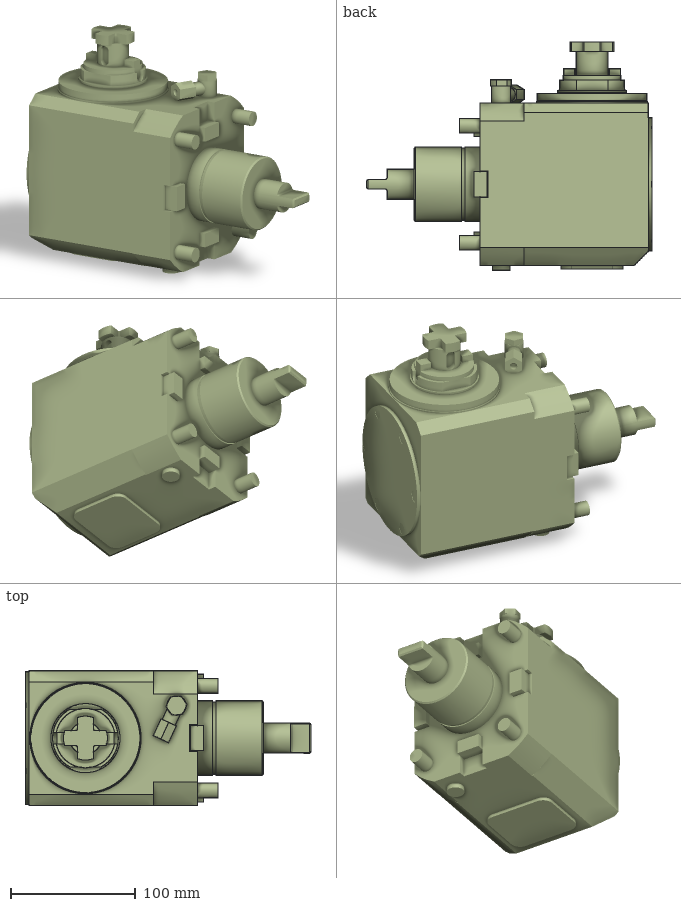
import cadquery as cq
import math


HOUSING_FRONT_X = -45.1
HOUSING_REAR_X = 90.0
HOUSING_HALF_WIDTH = 54.0
HOUSING_HALF_HEIGHT = 65.3
TOP_CHAMFER_Y = 9.0
TOP_CHAMFER_Z = 7.8
BOTTOM_CHAMFER_Y = 17.9
BOTTOM_CHAMFER_Z = 14.7
FRONT_BEVEL = 11.5
REAR_TURNED_RADIUS = 74.2
REAR_TURNED_START_X = 54.7

COVER_RADIUS = 53.4
COVER_THICKNESS = 3.0
COVER_SCREW_COUNT = 6
COVER_SCREW_CIRCLE_RADIUS = 47.9
COVER_SCREW_RADIUS = 5.0
COVER_SCREW_RECESS = 0.2

FLANGE_STEPS = [(44.7, 66.5), (43.5, 67.3), (44.0, 72.8)]
NUT_SEAT_RADIUS = 27.7
NUT_SEAT_TOP_Z = 75.4
NUT_SEAT_STEPS = [(27.0, 73.8), (NUT_SEAT_RADIUS, NUT_SEAT_TOP_Z)]
NUT_RADIUS = 26.3
NUT_TOP_Z = 83.5
NUT_FLAT_HALF_WIDTH = 23.1
COLLAR_RADIUS = 23.8
COLLAR_TOP_Z = 87.3

DOG_WIDTH = 9.2
DOG_INNER_X = 13.7
DOG_OUTER_X = 23.0
DOG_TOP_Z = 92.8

SHAFT_RADIUS = 12.8
CROSS_BOTTOM_Z = 106.3
CROSS_TOP_Z = 114.3
CROSS_RADIUS = 17.6
CROSS_ARM_WIDTH_ALONG_X = 12.1
CROSS_ARM_WIDTH_ALONG_Y = 12.5
CROSS_INNER_FILLET = 1.4
SHAFT_POCKET_WIDTH = 7.3
SHAFT_POCKET_LENGTH = 16.3
SHAFT_POCKET_CENTER_Z = 96.0
SHAFT_POCKET_DEPTH = 4.5

ELBOW_X = 73.0
ELBOW_Y = 26.0
ELBOW_POST_RADIUS = 7.8
ELBOW_HEAD_BOTTOM_Z = 78.8
ELBOW_TOP_Z = 83.8
HEX_SIDES = 6
ELBOW_HEAD_DIAMETER = 17.0
ELBOW_AXIS_Z = 72.0
ELBOW_TURN = 25.0
NOZZLE_STEM_RADIUS = 5.7
NOZZLE_HEX_START = 15.0
NOZZLE_HEX_END = 29.8
NOZZLE_HEX_DIAMETER = 15.5
NOZZLE_HOLE_RADIUS = 3.0
NOZZLE_HOLE_DEPTH = 9.2

ARBOR_RADIUS = 30.0
ARBOR_END_X = 142.7
ARBOR_END_CHAMFER = 1.1
ARBOR_GROOVE_START_X = 102.0
ARBOR_GROOVE_END_X = 105.0
ARBOR_GROOVE_RADIUS = 29.0
DRIVE_SHAFT_RADIUS = 12.1
DRIVE_SHAFT_END_X = 164.5
TANG_THICKNESS = 7.8
TANG_END_X = 181.0
TANG_ROOT_FILLET = 1.4
TANG_TIP_CHAMFER = 1.1

PIN_RADIUS = 6.0
PIN_END_X = 106.5
PIN_Y = 42.0
PIN_Z = 47.0

KEY_START_X = 84.3
KEY_END_X = 94.8
KEY_WIDTH = 20.2
KEY_THICKNESS = 11.5
KEY_SIDE_OUTER_Y = 51.3
KEY_TOP_INNER_Z = 38.3
KEY_CLEARANCE = 0.7

PLATE_SIZE_X = 50.0
PLATE_SIZE_Y = 60.0
PLATE_BOTTOM_Z = -68.0
PLATE_CORNER_RADIUS = 8.5
PLUG_X = 72.8
PLUG_Y = -25.9
PLUG_RADIUS = 7.0
PLUG_BOTTOM_Z = -69.2


def upright_cylinder(radius, bottom, top):
    return cq.Workplane("XY").workplane(offset=bottom).circle(radius).extrude(top - bottom)


def lengthwise_cylinder(radius, start, end):
    return cq.Workplane("YZ", origin=(start, 0, 0)).circle(radius).extrude(end - start)


def block(x_range, y_range, z_range):
    sizes = [high - low for low, high in (x_range, y_range, z_range)]
    corner = (x_range[0], y_range[0], z_range[0])
    return cq.Workplane("XY", origin=corner).box(*sizes, centered=False)


def make_housing():
    width, height = HOUSING_HALF_WIDTH, HOUSING_HALF_HEIGHT
    right_side = [
        (width - BOTTOM_CHAMFER_Y, -height),
        (width, -height + BOTTOM_CHAMFER_Z),
        (width, height - TOP_CHAMFER_Z),
        (width - TOP_CHAMFER_Y, height),
    ]
    left_side = [(-y, z) for y, z in reversed(right_side)]
    front = (
        cq.Workplane("YZ", origin=(HOUSING_FRONT_X, 0, 0))
        .polyline(right_side + left_side)
        .close()
        .extrude(REAR_TURNED_START_X - HOUSING_FRONT_X)
    )
    bevel = (
        cq.Workplane("XZ")
        .moveTo(HOUSING_FRONT_X, -height)
        .lineTo(HOUSING_FRONT_X + FRONT_BEVEL, -height)
        .lineTo(HOUSING_FRONT_X, -height + FRONT_BEVEL)
        .close()
        .extrude(width, both=True)
    )
    rear_range = (REAR_TURNED_START_X, HOUSING_REAR_X)
    rear = block(rear_range, (-width, width), (-height, height))
    rear = rear.intersect(lengthwise_cylinder(REAR_TURNED_RADIUS, *rear_range))
    return front.cut(bevel).union(rear)


def make_cover():
    outer_x = HOUSING_FRONT_X - COVER_THICKNESS
    cover = lengthwise_cylinder(COVER_RADIUS, outer_x, HOUSING_FRONT_X)
    screw_recesses = (
        cq.Workplane("YZ", origin=(outer_x, 0, 0))
        .polarArray(COVER_SCREW_CIRCLE_RADIUS, 0, 360, COVER_SCREW_COUNT)
        .circle(COVER_SCREW_RADIUS)
        .extrude(COVER_SCREW_RECESS)
    )
    return cover.cut(screw_recesses)


def make_flange_and_nut():
    body = None
    bottom = HOUSING_HALF_HEIGHT
    for radius, top in FLANGE_STEPS + NUT_SEAT_STEPS:
        step = upright_cylinder(radius, bottom, top)
        body = step if body is None else body.union(step)
        bottom = top
    nut_flats = block(
        (-NUT_RADIUS, NUT_RADIUS),
        (-NUT_FLAT_HALF_WIDTH, NUT_FLAT_HALF_WIDTH),
        (NUT_SEAT_TOP_Z, NUT_TOP_Z),
    )
    nut = upright_cylinder(NUT_RADIUS, NUT_SEAT_TOP_Z, NUT_TOP_Z).intersect(nut_flats)
    collar = upright_cylinder(COLLAR_RADIUS, NUT_TOP_Z, COLLAR_TOP_Z)
    body = body.union(nut).union(collar)
    for side in (-1, 1):
        body = body.cut(dog_shape(side, DOG_INNER_X, NUT_SEAT_RADIUS))
        body = body.union(dog_shape(side, DOG_INNER_X, DOG_OUTER_X))
    return body


def dog_shape(side, inner_x, outer_x):
    """Upright key with a round lower end, lying on the +X or -X side of the shaft."""
    half_width = DOG_WIDTH / 2
    round_center_z = NUT_SEAT_TOP_Z + half_width
    return (
        cq.Workplane("YZ", origin=(side * inner_x, 0, 0))
        .moveTo(-half_width, DOG_TOP_Z)
        .lineTo(-half_width, round_center_z)
        .threePointArc((0, round_center_z - half_width), (half_width, round_center_z))
        .lineTo(half_width, DOG_TOP_Z)
        .close()
        .extrude(side * (outer_x - inner_x))
    )


def make_output_shaft():
    shaft = upright_cylinder(SHAFT_RADIUS, COLLAR_TOP_Z, CROSS_BOTTOM_Z)
    pocket = (
        cq.Workplane("XZ", origin=(0, -SHAFT_RADIUS, SHAFT_POCKET_CENTER_Z))
        .slot2D(SHAFT_POCKET_LENGTH, SHAFT_POCKET_WIDTH, 90)
        .extrude(-SHAFT_POCKET_DEPTH)
    )
    cross = (
        cq.Workplane("XY", origin=(0, 0, CROSS_BOTTOM_Z))
        .rect(2 * CROSS_RADIUS, CROSS_ARM_WIDTH_ALONG_X)
        .extrude(CROSS_TOP_Z - CROSS_BOTTOM_Z)
    )
    second_arm = (
        cq.Workplane("XY", origin=(0, 0, CROSS_BOTTOM_Z))
        .rect(CROSS_ARM_WIDTH_ALONG_Y, 2 * CROSS_RADIUS)
        .extrude(CROSS_TOP_Z - CROSS_BOTTOM_Z)
    )
    inner_corners = cq.selectors.BoxSelector(
        (-SHAFT_RADIUS, -SHAFT_RADIUS, CROSS_BOTTOM_Z),
        (SHAFT_RADIUS, SHAFT_RADIUS, CROSS_TOP_Z),
    )
    cross = cross.union(second_arm).edges("|Z").edges(inner_corners).fillet(CROSS_INNER_FILLET)
    cross = cross.intersect(upright_cylinder(CROSS_RADIUS, CROSS_BOTTOM_Z, CROSS_TOP_Z))
    return shaft.cut(pocket).union(cross)


def make_elbow():
    """Elbow built around its post axis with the nozzle pointing to -Y, then turned into place."""
    post = upright_cylinder(ELBOW_POST_RADIUS, HOUSING_HALF_HEIGHT, ELBOW_HEAD_BOTTOM_Z)
    head = (
        cq.Workplane("XY", origin=(0, 0, ELBOW_HEAD_BOTTOM_Z))
        .transformed(rotate=(0, 0, 90))
        .polygon(HEX_SIDES, ELBOW_HEAD_DIAMETER)
        .extrude(ELBOW_TOP_Z - ELBOW_HEAD_BOTTOM_Z)
    )
    stem = cq.Workplane("XZ", origin=(0, 0, ELBOW_AXIS_Z)).circle(NOZZLE_STEM_RADIUS)
    stem = stem.extrude(NOZZLE_HEX_START)
    nozzle = (
        cq.Workplane("XZ", origin=(0, -NOZZLE_HEX_START, ELBOW_AXIS_Z))
        .transformed(rotate=(0, 0, 90))
        .polygon(HEX_SIDES, NOZZLE_HEX_DIAMETER)
        .extrude(NOZZLE_HEX_END - NOZZLE_HEX_START)
    )
    hole = (
        cq.Workplane("XZ", origin=(0, -NOZZLE_HEX_END, ELBOW_AXIS_Z))
        .circle(NOZZLE_HOLE_RADIUS)
        .extrude(-NOZZLE_HOLE_DEPTH)
    )
    elbow = post.union(head).union(stem).union(nozzle).cut(hole)
    elbow = elbow.rotate((0, 0, 0), (0, 0, 1), -ELBOW_TURN)
    return elbow.translate((ELBOW_X, ELBOW_Y, 0))


def make_arbor():
    arbor = lengthwise_cylinder(ARBOR_RADIUS, HOUSING_REAR_X, ARBOR_END_X)
    arbor = arbor.faces(">X").chamfer(ARBOR_END_CHAMFER)
    groove = lengthwise_cylinder(ARBOR_RADIUS, ARBOR_GROOVE_START_X, ARBOR_GROOVE_END_X).cut(
        lengthwise_cylinder(ARBOR_GROOVE_RADIUS, ARBOR_GROOVE_START_X, ARBOR_GROOVE_END_X)
    )
    shaft = lengthwise_cylinder(DRIVE_SHAFT_RADIUS, ARBOR_END_X, TANG_END_X)
    for side in (-1, 1):
        shaft = shaft.cut(tang_cutout(side))
    shaft = shaft.faces(">X").chamfer(TANG_TIP_CHAMFER)
    return arbor.cut(groove).union(shaft)


def tang_cutout(side):
    """Material removed above (+1) or below (-1) the flat tang, with a rounded root."""
    flat_z = side * TANG_THICKNESS / 2
    outer_z = side * DRIVE_SHAFT_RADIUS
    radius = TANG_ROOT_FILLET
    start_x = DRIVE_SHAFT_END_X
    arc_offset = radius * (1 - math.sqrt(0.5))
    return (
        cq.Workplane("XZ")
        .moveTo(start_x, outer_z)
        .lineTo(start_x, flat_z + side * radius)
        .threePointArc((start_x + arc_offset, flat_z + side * arc_offset), (start_x + radius, flat_z))
        .lineTo(TANG_END_X, flat_z)
        .lineTo(TANG_END_X, outer_z)
        .close()
        .extrude(DRIVE_SHAFT_RADIUS, both=True)
    )


def make_pins():
    pins = cq.Workplane("YZ", origin=(HOUSING_REAR_X, 0, 0))
    pins = pins.rect(2 * PIN_Y, 2 * PIN_Z, forConstruction=True).vertices()
    return pins.circle(PIN_RADIUS).extrude(PIN_END_X - HOUSING_REAR_X)


def edge_key(inner, outer, turn, clearance=0.0):
    """Block on the +Y side, its front end and sides grown by the clearance, turned about the arbor axis."""
    half_width = KEY_WIDTH / 2 + clearance
    key = block((KEY_START_X - clearance, KEY_END_X), (inner, outer), (-half_width, half_width))
    return key.rotate((0, 0, 0), (1, 0, 0), turn)


def add_keys(body):
    side_inner = KEY_SIDE_OUTER_Y - KEY_THICKNESS
    top_outer = KEY_TOP_INNER_Z + KEY_THICKNESS
    placements = [
        (0, side_inner, KEY_SIDE_OUTER_Y),
        (90, KEY_TOP_INNER_Z, top_outer),
        (180, side_inner, KEY_SIDE_OUTER_Y),
        (270, KEY_TOP_INNER_Z, top_outer),
    ]
    for turn, inner, outer in placements:
        body = body.cut(edge_key(inner, HOUSING_HALF_HEIGHT, turn, KEY_CLEARANCE))
        body = body.union(edge_key(inner, outer, turn))
    return body


def make_underside_parts():
    floor_z = -HOUSING_HALF_HEIGHT
    plate = (
        cq.Workplane("XY", origin=(0, 0, PLATE_BOTTOM_Z))
        .rect(PLATE_SIZE_X, PLATE_SIZE_Y)
        .extrude(floor_z - PLATE_BOTTOM_Z)
        .edges("|Z")
        .fillet(PLATE_CORNER_RADIUS)
    )
    plug = upright_cylinder(PLUG_RADIUS, PLUG_BOTTOM_Z, floor_z).translate((PLUG_X, PLUG_Y, 0))
    return plate.union(plug)


result = add_keys(make_housing())
result = result.union(make_cover())
result = result.union(make_flange_and_nut())
result = result.union(make_output_shaft())
result = result.union(make_elbow())
result = result.union(make_arbor())
result = result.union(make_pins())
result = result.union(make_underside_parts())